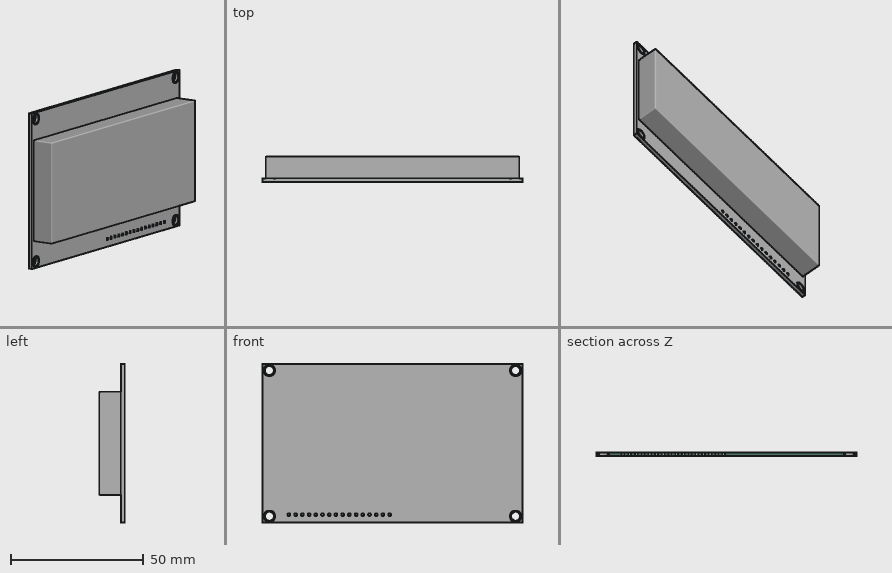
import cadquery as cq

BOARD_LENGTH = 98.3
BOARD_HEIGHT = 60.0
BOARD_THICKNESS = 1.5

TOTAL_DEPTH = 9.7
HOUSING_DEPTH = TOTAL_DEPTH - BOARD_THICKNESS
HOUSING_LENGTH = 95.8
HOUSING_HEIGHT = 39.0
HOUSING_EDGE_RADIUS = 0.5

MOUNT_SPACING_X = 93.0
MOUNT_SPACING_Z = 55.0
RING_OUTER_DIAMETER = 4.3
RING_BORE_DIAMETER = 3.3

PIN_HOLE_COUNT = 16
PIN_HOLE_ROW_LENGTH = 38.0
PIN_HOLE_PITCH = PIN_HOLE_ROW_LENGTH / (PIN_HOLE_COUNT - 1)
PIN_HOLE_DIAMETER = 1.0
FIRST_PIN_HOLE_X = -39.1
PIN_HOLE_ROW_Z = -26.9

MOUNT_POINTS = [
    (side_x * MOUNT_SPACING_X / 2, side_z * MOUNT_SPACING_Z / 2)
    for side_x in (-1, 1)
    for side_z in (-1, 1)
]
PIN_HOLE_POINTS = [
    (FIRST_PIN_HOLE_X + index * PIN_HOLE_PITCH, PIN_HOLE_ROW_Z)
    for index in range(PIN_HOLE_COUNT)
]


def board_cylinder(x, z, diameter):
    """Cylinder along +Y that spans the full board thickness."""
    return cq.Workplane("XZ").center(x, z).circle(diameter / 2).extrude(-BOARD_THICKNESS)


def make_board():
    """Flat board with seats for the mounting rings and a row of solder holes."""
    board = cq.Workplane("XZ").rect(BOARD_LENGTH, BOARD_HEIGHT).extrude(-BOARD_THICKNESS)
    for x, z in MOUNT_POINTS:
        board = board.cut(board_cylinder(x, z, RING_OUTER_DIAMETER))
    for x, z in PIN_HOLE_POINTS:
        board = board.cut(board_cylinder(x, z, PIN_HOLE_DIAMETER))
    return board


def make_mount_ring(x, z):
    """Tube that fills a board seat, flush with both board faces."""
    return board_cylinder(x, z, RING_OUTER_DIAMETER).cut(board_cylinder(x, z, RING_BORE_DIAMETER))


def make_housing():
    """Block behind the board, rounded on its corners and around its rear face."""
    return (
        cq.Workplane("XZ", origin=(0, BOARD_THICKNESS, 0))
        .rect(HOUSING_LENGTH, HOUSING_HEIGHT)
        .extrude(-HOUSING_DEPTH)
        .edges("|Y or >Y")
        .fillet(HOUSING_EDGE_RADIUS)
    )


board = make_board()
housing = make_housing()
mount_rings = [make_mount_ring(x, z) for x, z in MOUNT_POINTS]

result = cq.Compound.makeCompound(
    [board.val(), housing.val(), *[ring.val() for ring in mount_rings]]
)